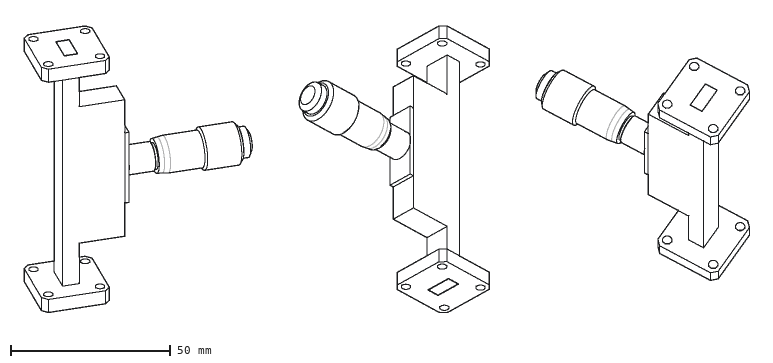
import cadquery as cq

total_length = 88.9
flange_size = 22.3
flange_thickness = 4.8
flange_corner_chamfer = 1.8
hole_spacing_x = 16.2
hole_spacing_y = 17.0
hole_diameter = 2.9
guide_width = 9.1
guide_depth = 5.5
window_height = 4.4
window_recess = 0.2

block_length = 49.9
block_back = 17.7
plate_thickness = 1.4
plate_length = 25.6
plate_back = block_back + plate_thickness

sleeve_radius = 9.5 / 2
sleeve_end = 27.8
neck_radius = 4.3
thimble_start = 28.7
thimble_start_radius = 11.1 / 2
scale_band_end = 30.4
scale_band_radius = 5.8
barrel_start = 32.3
barrel_radius = 6.05
grip_start = 43.6
grip_chamfer_length = 0.6
grip_radius = 6.9
grip_end = 55.4
grip_shoulder_end = 56.45
grip_shoulder_radius = 5.7
cap_radius = 10.05 / 2
cap_edge = 58.85
tip_radius = 3.2
tip_end = 71.1 - flange_size / 2


def make_flange(outer_face, inward):
    """Flange with bolt holes and a shallow guide window in its outer face."""
    flange = (
        cq.Workplane("XY")
        .box(flange_size, flange_size, flange_thickness)
        .edges("|Z")
        .chamfer(flange_corner_chamfer)
        .faces(">Z")
        .workplane()
        .rect(hole_spacing_x, hole_spacing_y, forConstruction=True)
        .vertices()
        .hole(hole_diameter)
        .translate((0, 0, outer_face + inward * flange_thickness / 2))
    )
    window = (
        cq.Workplane("XY", origin=(0, 0, outer_face))
        .rect(guide_width, window_height)
        .extrude(inward * window_recess)
    )
    return flange.cut(window)


def make_waveguide():
    """Guide bar, tuner block and both end flanges as one housing."""
    bar = cq.Workplane("XY").box(guide_width, guide_depth, total_length - 2 * flange_thickness)
    block = cq.Workplane("XY").box(
        guide_width, block_back, block_length, centered=(True, False, True)
    )
    housing = bar.union(block)
    for side in (-1, 1):
        housing = housing.union(make_flange(side * total_length / 2, -side))
    return housing


def make_mounting_plate():
    """Flat plate between the tuner block and the micrometer."""
    return (
        cq.Workplane("XY", origin=(0, block_back, 0))
        .box(guide_width, plate_thickness, plate_length, centered=(True, False, True))
    )


def make_micrometer():
    """Stepped micrometer head, revolved about the Y axis."""
    profile = [
        (0, plate_back),
        (sleeve_radius, plate_back),
        (sleeve_radius, sleeve_end),
        (neck_radius, sleeve_end),
        (neck_radius, thimble_start),
        (thimble_start_radius, thimble_start),
        (scale_band_radius, scale_band_end),
        (barrel_radius, barrel_start),
        (barrel_radius, grip_start),
        (grip_radius, grip_start + grip_chamfer_length),
        (grip_radius, grip_end),
        (grip_shoulder_radius, grip_shoulder_end),
        (cap_radius, grip_shoulder_end),
        (cap_radius, cap_edge),
        (tip_radius, tip_end),
        (0, tip_end),
    ]
    return cq.Workplane("XY").polyline(profile).close().revolve(360, (0, 0, 0), (0, 1, 0))


waveguide = make_waveguide()
mounting_plate = make_mounting_plate()
micrometer = make_micrometer()

result = cq.Compound.makeCompound([waveguide.val(), mounting_plate.val(), micrometer.val()])